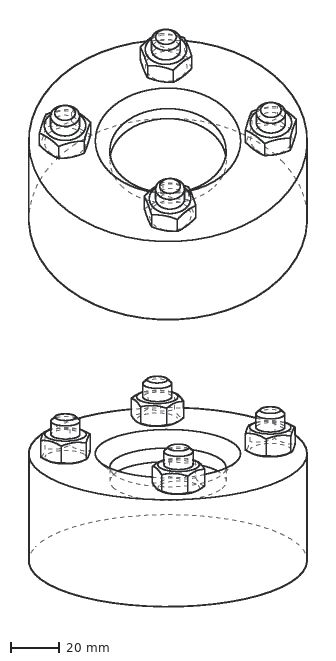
import cadquery as cq
import math

body_diameter = 115.0
body_height = 46.82

bore_diameter = 48.0
recess_mouth_diameter = 60.0
countersink_depth = (recess_mouth_diameter - bore_diameter) / 2
bore_depth = 6.0
recess_depth = countersink_depth + bore_depth

stud_count = 4
bolt_circle_diameter = 85.0
first_stud_angle = 45.0
stud_diameter = 12.0
stud_projection = 17.5
stud_chamfer = 1.75

nut_sides = 6
nut_across_flats = 19.0
nut_height = 10.0
nut_bearing_diameter = 17.1
nut_chamfer_angle = 30.0
nut_across_corners = nut_across_flats / math.cos(math.pi / nut_sides)


def make_body():
    """Plain cylinder standing on the XY plane."""
    return cq.Workplane("XY").circle(body_diameter / 2).extrude(body_height)


def make_recess():
    """Cutter for the bore and its countersink, revolved about the Z axis."""
    bore_radius = bore_diameter / 2
    floor_z = body_height - recess_depth
    return (
        cq.Workplane("XZ")
        .moveTo(0, floor_z)
        .lineTo(bore_radius, floor_z)
        .lineTo(bore_radius, floor_z + bore_depth)
        .lineTo(recess_mouth_diameter / 2, body_height)
        .lineTo(0, body_height)
        .close()
        .revolve(360, (0, 0, 0), (0, 1, 0))
    )


def make_nut():
    """Hexagon nut on the XY plane, corners along X, corners chamfered at both ends."""
    corner_radius = nut_across_corners / 2
    bearing_radius = nut_bearing_diameter / 2
    chamfer_height = (corner_radius - bearing_radius) * math.tan(math.radians(nut_chamfer_angle))
    chamfer_envelope = (
        cq.Workplane("XZ")
        .moveTo(0, 0)
        .lineTo(bearing_radius, 0)
        .lineTo(corner_radius, chamfer_height)
        .lineTo(corner_radius, nut_height - chamfer_height)
        .lineTo(bearing_radius, nut_height)
        .lineTo(0, nut_height)
        .close()
        .revolve(360, (0, 0, 0), (0, 1, 0))
    )
    hexagon = cq.Workplane("XY").polygon(nut_sides, nut_across_corners).extrude(nut_height)
    return hexagon.intersect(chamfer_envelope)


def make_stud_with_nut():
    """Chamfered stud end joined to its nut, both standing on the XY plane."""
    stud = (
        cq.Workplane("XY")
        .circle(stud_diameter / 2)
        .extrude(stud_projection)
        .faces(">Z")
        .chamfer(stud_chamfer)
    )
    return stud.union(make_nut())


result = make_body().cut(make_recess())

stud_pitch_angle = 360 / stud_count
stud_offset = bolt_circle_diameter / 2 * math.cos(math.radians(first_stud_angle))
first_stud = make_stud_with_nut().translate((stud_offset, stud_offset, body_height))
for index in range(stud_count):
    result = result.union(first_stud.rotate((0, 0, 0), (0, 0, 1), index * stud_pitch_angle))